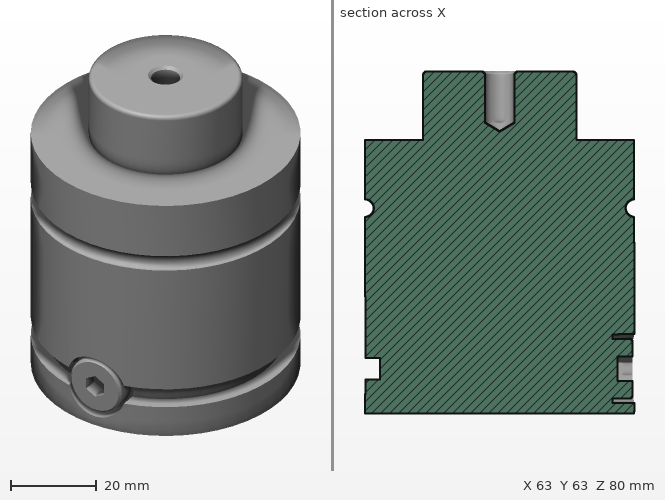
import cadquery as cq
import math

total_height = 80.0
body_height = 64.0
body_radius = 31.5

rod_radius = 18.0
rod_edge_fillet = 1.0

hole_radius = 6.8 / 2
hole_mouth_radius = 4.1
hole_depth = 12.0
hole_tip_angle = 118.0

round_groove_radius = 2.0
round_groove_z = 48.0

square_groove_bottom = 8.0
square_groove_width = 5.0
square_groove_floor_radius = 28.0
groove_cut_margin = 0.8

port_z = square_groove_bottom + square_groove_width / 2
port_radius = 8.0
port_floor_y = -26.4
plug_radius = 7.0
plug_face_y = -31.1
plug_chamfer = 0.6
plug_root = 1.6
socket_width = 5.0
socket_depth = 3.5


def make_body():
    body = cq.Workplane("XY").circle(body_radius).extrude(body_height)
    rod = cq.Workplane("XY").circle(rod_radius).extrude(total_height)
    rod = rod.faces(">Z").edges().fillet(rod_edge_fillet)
    return body.union(rod)


def make_rod_hole():
    tip_length = hole_radius / math.tan(math.radians(hole_tip_angle / 2))
    chamfer = hole_mouth_radius - hole_radius
    floor_z = total_height - hole_depth
    profile = [
        (0, total_height),
        (hole_mouth_radius, total_height),
        (hole_radius, total_height - chamfer),
        (hole_radius, floor_z),
        (0, floor_z - tip_length),
    ]
    return cq.Workplane("XZ").polyline(profile).close().revolve(360, (0, 0), (0, 1))


def make_round_groove():
    ring = cq.Workplane("XZ").center(body_radius, round_groove_z).circle(round_groove_radius)
    return ring.revolve(360, (-body_radius, 0), (-body_radius, 1))


def make_square_groove():
    base = cq.Workplane("XY").workplane(offset=square_groove_bottom)
    ring = base.circle(body_radius + groove_cut_margin).circle(square_groove_floor_radius)
    return ring.extrude(square_groove_width)


def port_plane(y):
    """Sketch plane centred on the port axis, facing outward along -Y."""
    return cq.Workplane("XZ", origin=(0, y, port_z))


def make_port():
    return port_plane(port_floor_y).circle(port_radius).extrude(body_radius)


def make_plug():
    length = port_floor_y - plug_face_y
    plug = port_plane(port_floor_y + plug_root).circle(plug_radius).extrude(length + plug_root)
    plug = plug.faces("<Y").edges().chamfer(plug_chamfer)
    socket = port_plane(plug_face_y).transformed(rotate=(0, 0, 90))
    socket = socket.polygon(6, socket_width / math.cos(math.pi / 6)).extrude(-socket_depth)
    return plug.cut(socket)


result = (
    make_body()
    .cut(make_rod_hole())
    .cut(make_round_groove())
    .cut(make_square_groove())
    .cut(make_port())
    .union(make_plug())
)